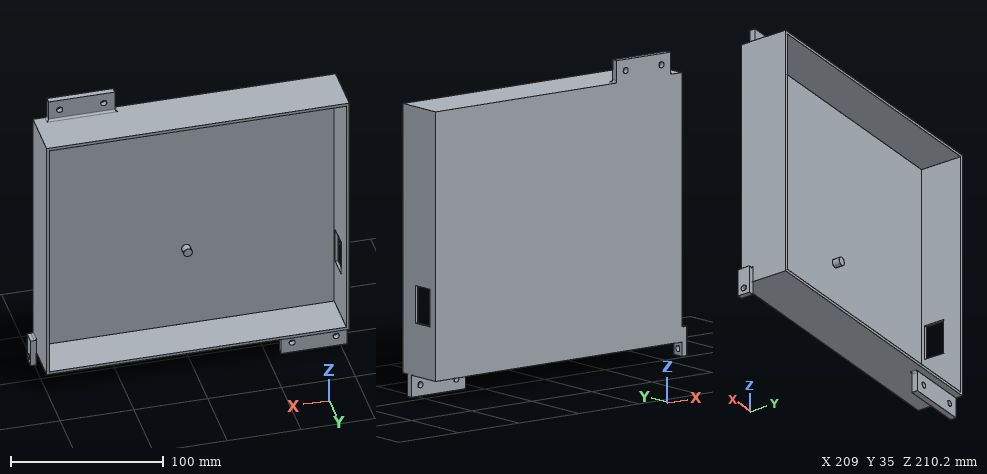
import cadquery as cq

body_width = 205.0
body_depth = 35.0
body_height = 180.2
wall = 2.0
front_thickness = 4.0

hole_diameter = 4.0
root_radius = 1.5

tab_width = 45.0
tab_height = 15.0
tab_thickness = 4.5
tab_hole_inset = 7.5
top_tab_side_gap = 9.5
bottom_tab_back_gap = 5.0
top_tab_left = body_width - top_tab_side_gap - tab_width
bottom_tab_front = body_depth - bottom_tab_back_gap - tab_thickness

lug_thickness = 4.0
lug_depth = 9.0
lug_drop = 9.7
lug_rise = 10.0
lug_hole_drop = 5.0

window_front = 6.5
window_depth = 15.0
window_bottom = 35.5
window_height = 25.0

standoff_length = 5.5
standoff_radius = 3.0
standoff_x = body_width / 2
standoff_z = 62.0


def block(x, y, z, width, depth, height):
    """Box with its minimum corner at (x, y, z)."""
    return cq.Workplane("XY").box(width, depth, height, centered=False).translate((x, y, z))


def edges_within(x, y, z, width, depth, height):
    """Selector for edges centred in a region, widened by a small margin."""
    margin = 0.02
    return cq.selectors.BoxSelector(
        (x - margin, y - margin, z - margin),
        (x + width + margin, y + depth + margin, z + height + margin),
    )


def make_body():
    """Box with four side walls and a front panel, open at the back."""
    shell = block(0, 0, 0, body_width, body_depth, body_height)
    cavity = block(
        wall,
        front_thickness,
        wall,
        body_width - 2 * wall,
        body_depth - front_thickness,
        body_height - 2 * wall,
    )
    return shell.cut(cavity)


def make_standoff():
    """Round post pointing backward from the front panel."""
    return (
        cq.Workplane("XZ", origin=(standoff_x, front_thickness, standoff_z))
        .circle(standoff_radius)
        .extrude(-standoff_length)
    )


def tab_holes(left, center_z):
    """Pair of drills along Y through a tab starting at x = left."""
    centers = [(left + tab_hole_inset, center_z), (left + tab_width - tab_hole_inset, center_z)]
    return (
        cq.Workplane("XZ")
        .pushPoints(centers)
        .circle(hole_diameter / 2)
        .extrude(-body_depth)
    )


def lug_hole():
    """Drill along X through the lug, below the box."""
    return (
        cq.Workplane("YZ", origin=(body_width, lug_depth / 2, -lug_hole_drop))
        .circle(hole_diameter / 2)
        .extrude(lug_thickness)
    )


top_tab = block(top_tab_left, 0, body_height - wall, tab_width, tab_thickness, tab_height + wall)
bottom_tab = block(0, bottom_tab_front, -tab_height, tab_width, tab_thickness, tab_height + wall)
lug = block(body_width, 0, -lug_drop, lug_thickness, lug_depth, lug_drop + lug_rise)
part = make_body().union(top_tab).union(bottom_tab).union(lug).union(make_standoff())

root_selectors = [
    edges_within(top_tab_left, 0, body_height, tab_width, tab_thickness, 0),
    edges_within(tab_width, bottom_tab_front, 0, 0, tab_thickness, 0),
    edges_within(body_width, 0, lug_rise, 0, lug_depth, 0),
]
for selector in root_selectors:
    part = part.edges(selector).fillet(root_radius)

part = part.cut(tab_holes(top_tab_left, body_height + tab_height - tab_hole_inset))
part = part.cut(tab_holes(0, -tab_height + tab_hole_inset))
part = part.cut(lug_hole())
window = block(0, window_front, window_bottom, wall, window_depth, window_height)

result = part.cut(window)